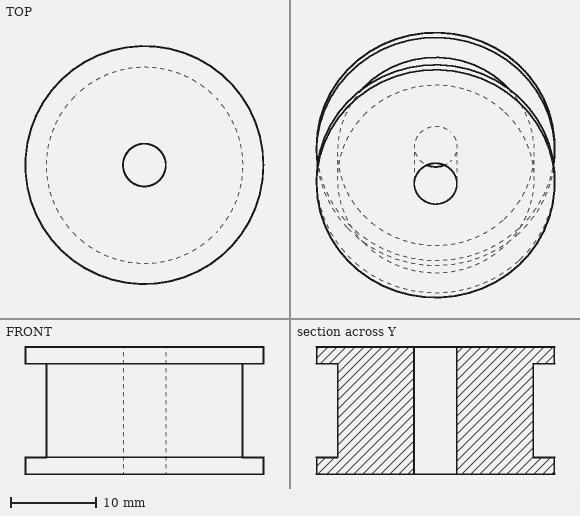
import cadquery as cq

flange_diameter = 28.0
hub_diameter = 23.1
bore_diameter = 5.0
total_height = 15.0
flange_thickness = 2.0


def disc(diameter, height, base_z):
    """Solid disc on the Z axis, standing on the level base_z."""
    return cq.Workplane("XY").workplane(offset=base_z).circle(diameter / 2).extrude(height)


spool = disc(hub_diameter, total_height, 0)
for flange_base in (0, total_height - flange_thickness):
    spool = spool.union(disc(flange_diameter, flange_thickness, flange_base))

bore = disc(bore_diameter, total_height, 0)

result = spool.cut(bore)